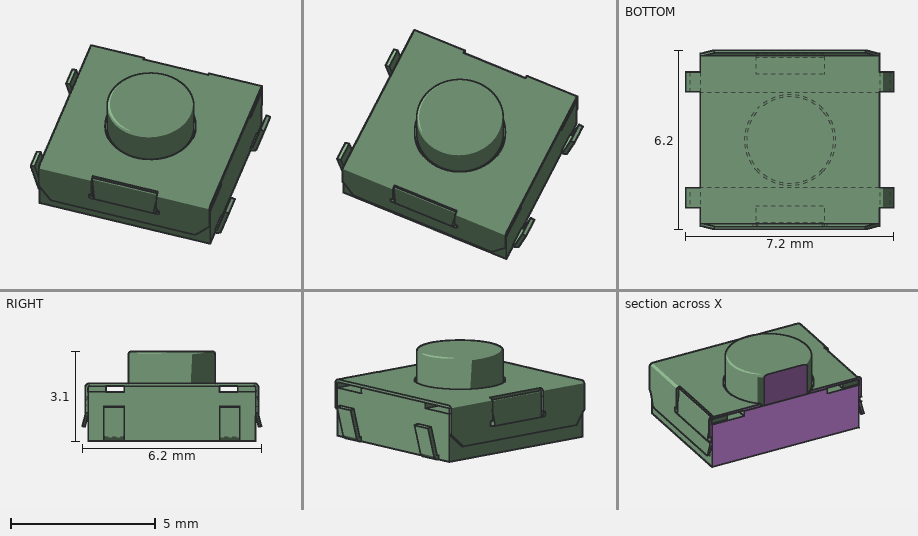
import cadquery as cq
import math


overall_length = 7.2
overall_height = 3.1

cover_length = 6.2
cover_width = 6.0
cover_top = 2.0
sheet_thickness = 0.1
cover_bend_radius = 0.15
flare_angle = 15.0
flare_reach = 0.1
flare_top = 0.89
corner_cut_top = 0.99
button_hole_diameter = 3.15

window_width = 2.36
window_bottom = 1.0
relief_radius = 0.1
latch_lip_height = 0.1

base_length = cover_length
base_width = cover_width - 2 * sheet_thickness
base_height = cover_top - sheet_thickness
base_edge_radius = cover_bend_radius - sheet_thickness
channel_depth = 0.2
channel_inner_y = 1.65
post_inner_y = 2.275

lead_width = 0.7
lead_pitch = 4.0
lead_thickness = 0.15
lead_tip_height = 1.21
lead_lean = 15.0
lead_inner_radius = 0.05

button_diameter = 3.0
button_edge_radius = 0.1


def make_lead(side, center_y):
    """One lead: flat foot leaving the base at Z = 0, a bend, and a leaning upright blade."""
    lean = math.radians(lead_lean)
    turn = math.pi / 2 - lean
    outer_radius = lead_inner_radius + lead_thickness
    root_x = base_length / 2
    outer_tip = (overall_length / 2, lead_tip_height - lead_thickness * math.sin(lean))
    inner_tip = (overall_length / 2 - lead_thickness * math.cos(lean), lead_tip_height)

    bend_z = outer_radius
    outer_end_z = bend_z - outer_radius * math.cos(turn)
    outer_end_x = outer_tip[0] - (outer_tip[1] - outer_end_z) * math.tan(lean)
    bend_x = outer_end_x - outer_radius * math.sin(turn)

    def on_bend(radius, angle):
        return (bend_x + radius * math.sin(angle), bend_z - radius * math.cos(angle))

    profile = (
        cq.Workplane("XZ", origin=(0, center_y, 0))
        .moveTo(root_x, 0)
        .lineTo(*on_bend(outer_radius, 0))
        .threePointArc(on_bend(outer_radius, turn / 2), on_bend(outer_radius, turn))
        .lineTo(*outer_tip)
        .lineTo(*inner_tip)
        .lineTo(*on_bend(lead_inner_radius, turn))
        .threePointArc(on_bend(lead_inner_radius, turn / 2), on_bend(lead_inner_radius, 0))
        .lineTo(root_x, lead_thickness)
        .close()
    )
    lead = profile.extrude(lead_width / 2, both=True)
    return lead if side > 0 else lead.mirror("YZ")


def make_latch():
    """Wedge on the -Y wall of the base: it grows toward its lip and has 45 degree ends."""
    wall_y = -base_width / 2
    front_y = wall_y - sheet_thickness
    slope_top = base_height - base_edge_radius
    wedge = (
        cq.Workplane("YZ")
        .polyline([
            (wall_y, window_bottom),
            (front_y, window_bottom),
            (front_y, window_bottom + latch_lip_height),
            (wall_y, slope_top),
        ])
        .close()
        .extrude(window_width / 2, both=True)
    )
    root_x = window_width / 2
    front_x = root_x - sheet_thickness
    tapered_ends = (
        cq.Workplane("XY")
        .polyline([(-root_x, wall_y), (-front_x, front_y), (front_x, front_y), (root_x, wall_y)])
        .close()
        .extrude(base_height)
    )
    return wedge.intersect(tapered_ends)


def make_base():
    block = (
        cq.Workplane("XY")
        .box(base_length, base_width, base_height, centered=(True, True, False))
        .edges("|X and >Z")
        .fillet(base_edge_radius)
    )

    channel_width = base_width / 2 - channel_inner_y
    post_depth = base_width / 2 - post_inner_y
    channel = (
        cq.Workplane("XY", origin=(0, -channel_inner_y - channel_width / 2, base_height - channel_depth))
        .box(base_length, channel_width, channel_depth, centered=(True, True, False))
    )
    post = (
        cq.Workplane("XY", origin=(0, -post_inner_y - post_depth / 2, base_height - channel_depth))
        .box(window_width, post_depth, channel_depth, centered=(True, True, False))
    )
    channel = channel.cut(post)
    latch = make_latch()
    base = block.cut(channel).cut(channel.mirror("XZ")).union(latch).union(latch.mirror("XZ"))

    for side in (-1, 1):
        for center_y in (-lead_pitch / 2, lead_pitch / 2):
            base = base.union(make_lead(side, center_y))
    return base


def make_cover():
    flare = math.radians(flare_angle)
    outer_y = cover_width / 2
    inner_y = base_width / 2
    inner_radius = base_edge_radius
    bend_y = outer_y - cover_bend_radius
    bend_z = cover_top - cover_bend_radius
    diagonal = math.sqrt(0.5)
    skirt_y = outer_y + flare_reach
    skirt_z = flare_top - flare_reach / math.tan(flare)
    inner_flare_top = flare_top - sheet_thickness * math.tan(flare / 2)

    half = (
        cq.Workplane("YZ")
        .moveTo(0, cover_top)
        .lineTo(bend_y, cover_top)
        .threePointArc(
            (bend_y + cover_bend_radius * diagonal, bend_z + cover_bend_radius * diagonal),
            (outer_y, bend_z),
        )
        .lineTo(outer_y, flare_top)
        .lineTo(skirt_y, skirt_z)
        .lineTo(skirt_y - sheet_thickness * math.cos(flare), skirt_z - sheet_thickness * math.sin(flare))
        .lineTo(inner_y, inner_flare_top)
        .lineTo(inner_y, bend_z)
        .threePointArc(
            (bend_y + inner_radius * diagonal, bend_z + inner_radius * diagonal),
            (bend_y, base_height),
        )
        .lineTo(0, base_height)
        .close()
        .extrude(cover_length / 2, both=True)
    )
    cover = half.union(half.mirror("XZ"))

    corner_cut = (
        cq.Workplane("XZ")
        .polyline([
            (cover_length / 2, corner_cut_top),
            (cover_length / 2, 0),
            (cover_length / 2 - corner_cut_top, 0),
        ])
        .close()
        .extrude(cover_width, both=True)
    )
    cover = cover.cut(corner_cut).cut(corner_cut.mirror("YZ"))

    window_depth = skirt_y - bend_y
    window = (
        cq.Workplane("XY", origin=(0, bend_y + window_depth / 2, window_bottom))
        .box(window_width, window_depth, cover_top - window_bottom, centered=(True, True, False))
    )
    reliefs = (
        cq.Workplane("XZ", origin=(0, bend_y, window_bottom + relief_radius))
        .pushPoints([(-window_width / 2, 0), (window_width / 2, 0)])
        .circle(relief_radius)
        .extrude(-window_depth)
    )
    window = window.union(reliefs)
    cover = cover.cut(window).cut(window.mirror("XZ"))

    button_hole = cq.Workplane("XY").circle(button_hole_diameter / 2).extrude(overall_height)
    return cover.cut(button_hole)


def make_button():
    return (
        cq.Workplane("XY", origin=(0, 0, base_height))
        .circle(button_diameter / 2)
        .extrude(overall_height - base_height)
        .faces(">Z")
        .edges()
        .fillet(button_edge_radius)
    )


base = make_base()
cover = make_cover()
button = make_button()

result = cq.Compound.makeCompound([base.val(), cover.val(), button.val()])